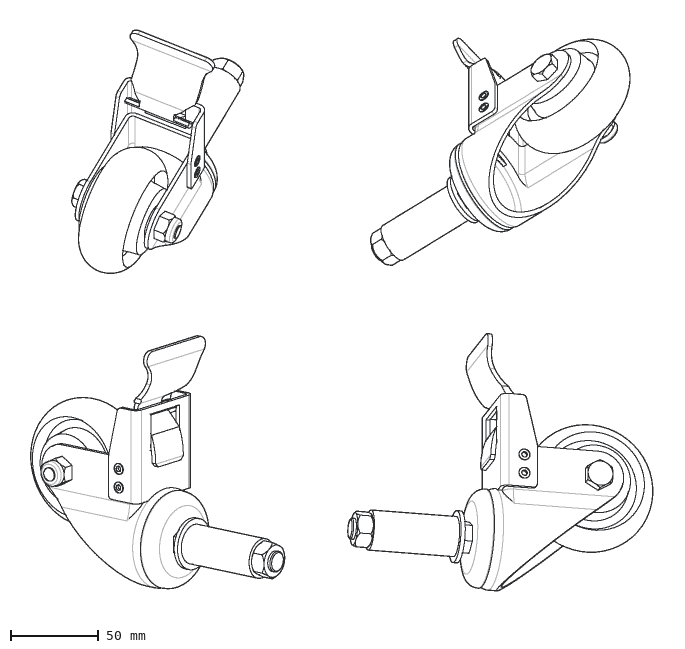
import cadquery as cq
import math


OVERALL_LENGTH = 177.5

TYRE_R = 37.5
TYRE_HALF_WIDTH = 14.0
TYRE_EDGE_R = 29.5
RECESS_FLOOR_R = 26.5
RECESS_FLOOR_X = 7.1
HUB_ROOT_R = 21.6
HUB_FACE_R = 20.2
HUB_HALF_WIDTH = 18.3
SPACER_R = 10.0

SHEET = 2.3
CUP_R = 29.1
CUP_DROP = 35.0
CUP_TOP_Y = 61.8
CUP_EDGE_FILLET = 4.8
LEG_HALF_SPAN = 23.0
LEG_END_R = 15.0
FORK_BACK_Y = 54.7
BEND_R = 5.0
FLARE_Z = -11.5
CUT_LOW_Y = 53.2

BRACKET_TOP_Z = 44.9
BRACKET_BOTTOM_Z = -10.1
BRACKET_BEND_R = 4.0
BRACKET_TOP_FRONT_Y = 43.0
BRACKET_FRONT_Y = 36.0
BRACKET_TOP_CORNER_R = 2.7
BRACKET_LOW_CORNER_R = 2.3
WINDOW_HALF_WIDTH = 12.8
WINDOW_BOTTOM_Z = 19.2
WINDOW_TOP_Z = 40.8
WINDOW_CUT = 4 * SHEET
RIVET_Y = 43.8
RIVET_HEIGHTS = (8.9, -2.1)
RIVET_R = 3.2
RIVET_HOLE_R = 1.6
RIVET_HOLE_DEPTH = 1.8
RIVET_PROUD = 0.5

BOLT_FLATS = 14.5
BOLT_HEAD_X = -29.1
NUT_END_X = 30.2
COLLAR_END_X = 34.2
COLLAR_FILLET = 1.5
BOLT_TIP_X = 35.0
BOLT_TIP_R = 3.9

RING_R = 28.4
RING_BOTTOM_Y = 62.1
RING_TOP_Y = 70.1
RING_FILLET = 7.5
NECK_R = 23.0
STEM_HEX_FLATS = 16.3
WASHER_BOTTOM_Y = 76.0
WASHER_R = 14.9
SLEEVE_BOTTOM_Y = 78.5
SLEEVE_R = 11.5
SLEEVE_TOP_Y = 128.5
STEM_NUT_FLATS = 18.6
STEM_NUT_TOP_Y = 137.7
STUD_R = 6.0
STUD_CHAMFER = 0.7
STUD_TOP_Y = OVERALL_LENGTH - TYRE_R

PEDAL_SHEET = 2.7
PEDAL_TOP_Z = 81.0
PEDAL_BACK_Y = 65.3
PEDAL_CURVE_TOP_Z = 72.8
PEDAL_CURVE_R = 27.9
PEDAL_CURVE_END_Z = 47.7
PEDAL_BOTTOM_Z = 34.0
CURL_END_ANGLE = 255
PAD_HALF_WIDTH = 26.3
PAD_CORNER_R = 5.1
WAIST_HALF_WIDTH = 20.4
WAIST_R = 17.4
WAIST_BOTTOM_Z = 50.8
NECK_HALF_WIDTH = 10.8
NECK_TOP_Z = 44.7
WING_HALF_WIDTH = 20.0
WING_TOP_Z = 40.6
HOOK_HALF_WIDTH = 12.5
HOOK_BACK_Y = 60.3
HOOK_R = 46.1
HOOK_ARC_ANGLE = 21
HOOK_CURVE_END_Z = 11.7
HOOK_BOTTOM_Z = 9.5
HOOK_CORNER = 2.3


COS_30 = math.cos(math.pi / 6)


def along_y(bottom, top, radius):
    """Cylinder on the stem axis between two Y positions."""
    plane = cq.Workplane("XZ", origin=(0, bottom, -CUP_DROP))
    return plane.circle(radius).extrude(bottom - top)


def along_x(start, end, radius, y=0, z=0):
    """Cylinder parallel to the axle between two X positions."""
    return cq.Workplane("YZ", origin=(start, y, z)).circle(radius).extrude(end - start)


def hex_bar(length, flats):
    """Hexagonal bar along +Z, corners on the local X axis."""
    return cq.Workplane("XY").polygon(6, flats / COS_30).extrude(length)


def chamfered(bar, flats, ends):
    """Hexagonal bar with the corners of the chosen ends turned off down to the flats."""
    corner_r = flats / COS_30 / 2
    length = bar.val().BoundingBox().zmax
    blank = cq.Workplane("XY").circle(corner_r).extrude(length)
    return bar.intersect(blank.faces(ends).edges().chamfer(corner_r - flats / 2))



def wheel():
    """Tyre with a recess in each side, a tapered hub and spacers reaching the fork legs."""
    tyre = (
        cq.Workplane("XY")
        .moveTo(-RECESS_FLOOR_X, 0)
        .lineTo(-RECESS_FLOOR_X, RECESS_FLOOR_R)
        .lineTo(-TYRE_HALF_WIDTH, TYRE_EDGE_R)
        .threePointArc((0, TYRE_R), (TYRE_HALF_WIDTH, TYRE_EDGE_R))
        .lineTo(RECESS_FLOOR_X, RECESS_FLOOR_R)
        .lineTo(RECESS_FLOOR_X, 0)
        .close()
        .revolve(360, (0, 0, 0), (1, 0, 0))
    )
    half_hub = (
        cq.Workplane("XY")
        .polyline([
            (0, 0), (0, HUB_ROOT_R), (RECESS_FLOOR_X, HUB_ROOT_R),
            (HUB_HALF_WIDTH, HUB_FACE_R), (HUB_HALF_WIDTH, 0),
        ])
        .close()
        .revolve(360, (0, 0, 0), (1, 0, 0))
    )
    spacer_end = LEG_HALF_SPAN - SHEET
    spacer = along_x(-spacer_end, spacer_end, SPACER_R)
    return tyre.union(half_hub).union(half_hub.mirror("YZ")).union(spacer)


def axle_bolt():
    """Hexagon head on the -X leg, hexagon nut with a round collar on the +X leg."""
    head = chamfered(hex_bar(-LEG_HALF_SPAN - BOLT_HEAD_X, BOLT_FLATS), BOLT_FLATS, ">Z")
    head = head.rotate((0, 0, 0), (0, 1, 0), -90).translate((-LEG_HALF_SPAN, 0, 0))
    nut = chamfered(hex_bar(NUT_END_X - LEG_HALF_SPAN, BOLT_FLATS), BOLT_FLATS, ">Z")
    nut = nut.rotate((0, 0, 0), (0, 1, 0), 90).translate((LEG_HALF_SPAN, 0, 0))
    collar = along_x(LEG_HALF_SPAN, COLLAR_END_X, BOLT_FLATS / 2)
    collar = collar.faces(">X").edges().fillet(COLLAR_FILLET)
    shaft = along_x(-LEG_HALF_SPAN, BOLT_TIP_X, BOLT_TIP_R)
    return head.union(nut).union(collar).union(shaft)



def keyhole(half_span, cup_r, back_y, bend_r):
    """Straight legs flaring out to the round cup, solid, with a rounded back edge."""
    flare_drop = CUP_DROP + FLARE_Z
    flare_r = (flare_drop**2 + half_span**2 - cup_r**2) / (2 * (cup_r - half_span))
    reach = cup_r / (cup_r + flare_r)
    join_x = (half_span + flare_r) * reach
    join_z = -CUP_DROP + flare_drop * reach
    half_turn = math.atan2(flare_drop, half_span + flare_r) / 2
    mid_x = half_span + flare_r * (1 - math.cos(half_turn))
    mid_z = FLARE_Z - flare_r * math.sin(half_turn)
    length = back_y + LEG_END_R
    body = (
        cq.Workplane("XZ", origin=(0, back_y, 0))
        .moveTo(-half_span, LEG_END_R)
        .lineTo(half_span, LEG_END_R)
        .lineTo(half_span, FLARE_Z)
        .threePointArc((mid_x, mid_z), (join_x, join_z))
        .threePointArc((0, -CUP_DROP - cup_r), (-join_x, join_z))
        .threePointArc((-mid_x, mid_z), (-half_span, FLARE_Z))
        .close()
        .extrude(length)
    )
    top_edge = cq.selectors.NearestToPointSelector((0, back_y, LEG_END_R))
    return body.faces(">Y").edges(cq.selectors.InverseSelector(top_edge)).fillet(bend_r)


def cup(radius, top_y, fillet_r):
    """Solid round cup reaching down past the bend of the keyhole's back edge."""
    return along_y(FORK_BACK_Y - BEND_R, top_y, radius).faces(">Y").edges().fillet(fillet_r)


def fork_side_outline():
    """Side shape: legs rounded about the axle, and a slanted cut tangent to that rounding."""
    low_z = -CUP_DROP - CUP_R
    cut_distance = math.hypot(CUT_LOW_Y, low_z)
    tangent_angle = math.atan2(low_z, CUT_LOW_Y) - math.acos(LEG_END_R / cut_distance)
    tangent = (LEG_END_R * math.cos(tangent_angle), LEG_END_R * math.sin(tangent_angle))
    return (
        cq.Workplane("YZ", origin=(-CUP_R, 0, 0))
        .moveTo(0, LEG_END_R)
        .threePointArc((-LEG_END_R, 0), tangent)
        .lineTo(CUT_LOW_Y, low_z)
        .lineTo(CUP_TOP_Y, low_z)
        .lineTo(CUP_TOP_Y, LEG_END_R)
        .close()
        .extrude(2 * CUP_R)
    )


def fork():
    """Hollow sheet fork: an outside shape and the same shape one sheet smaller."""
    outside = keyhole(LEG_HALF_SPAN, CUP_R, FORK_BACK_Y, BEND_R)
    outside = outside.union(cup(CUP_R, CUP_TOP_Y, CUP_EDGE_FILLET))
    inside = keyhole(LEG_HALF_SPAN - SHEET, CUP_R - SHEET, FORK_BACK_Y - SHEET, BEND_R - SHEET)
    inside = inside.union(cup(CUP_R - SHEET, CUP_TOP_Y - SHEET, CUP_EDGE_FILLET - SHEET))
    return outside.intersect(fork_side_outline()).cut(inside)



def bracket():
    """Sheet wrapped around the back and sides of the fork, with a window for the pedal hook."""
    back_y = FORK_BACK_Y + SHEET
    half_span = LEG_HALF_SPAN + SHEET
    block = (
        cq.Workplane("YZ", origin=(-half_span, 0, 0))
        .polyline([
            (back_y, BRACKET_BOTTOM_Z), (back_y, BRACKET_TOP_Z), (BRACKET_TOP_FRONT_Y, BRACKET_TOP_Z),
            (BRACKET_FRONT_Y, LEG_END_R), (BRACKET_FRONT_Y, BRACKET_BOTTOM_Z),
        ])
        .close()
        .extrude(2 * half_span)
    )
    block = block.edges("|X").edges(">Z").edges("<Y").fillet(BRACKET_TOP_CORNER_R)
    block = block.edges("|X").edges("<Z").edges("<Y").fillet(BRACKET_LOW_CORNER_R)
    block = block.edges("|Z and >Y").fillet(BRACKET_BEND_R)
    inside = (
        cq.Workplane("XY", origin=(0, FORK_BACK_Y / 2, BRACKET_BOTTOM_Z))
        .rect(2 * LEG_HALF_SPAN, FORK_BACK_Y)
        .extrude(BRACKET_TOP_Z - BRACKET_BOTTOM_Z)
        .edges("|Z and >Y")
        .fillet(BRACKET_BEND_R - SHEET)
    )
    window = (
        cq.Workplane("XY", origin=(0, back_y, WINDOW_BOTTOM_Z))
        .rect(2 * WINDOW_HALF_WIDTH, WINDOW_CUT)
        .extrude(WINDOW_TOP_Z - WINDOW_BOTTOM_Z)
    )
    return block.cut(inside).cut(window)


def rivet(side, z):
    """Rivet head standing proud of the bracket on one side, and the round pit in its middle."""
    seat = side * LEG_HALF_SPAN
    proud = side * (LEG_HALF_SPAN + SHEET + RIVET_PROUD)
    head = along_x(seat, proud, RIVET_R, RIVET_Y, z)
    return head, along_x(proud - side * RIVET_HOLE_DEPTH, proud, RIVET_HOLE_R, RIVET_Y, z)



def along_stem(bar, bottom):
    """Turn a bar built along +Z onto the stem axis, corners up and down."""
    turned = bar.rotate((0, 0, 0), (1, 0, 0), -90).rotate((0, 0, 0), (0, 1, 0), 90)
    return turned.translate((0, bottom, -CUP_DROP))


def stem():
    """Swivel ring, hexagonal shank, washer, sleeve, nut and stud end in one stack."""
    neck = along_y(CUP_TOP_Y, RING_BOTTOM_Y, NECK_R)
    ring = along_y(RING_BOTTOM_Y, RING_TOP_Y, RING_R).faces(">Y").edges().fillet(RING_FILLET)
    shank = along_stem(hex_bar(WASHER_BOTTOM_Y - RING_TOP_Y, STEM_HEX_FLATS), RING_TOP_Y)
    washer = along_y(WASHER_BOTTOM_Y, SLEEVE_BOTTOM_Y, WASHER_R)
    sleeve = along_y(SLEEVE_BOTTOM_Y, SLEEVE_TOP_Y, SLEEVE_R)
    nut = hex_bar(STEM_NUT_TOP_Y - SLEEVE_TOP_Y, STEM_NUT_FLATS)
    nut = along_stem(chamfered(nut, STEM_NUT_FLATS, "<Z or >Z"), SLEEVE_TOP_Y)
    stud = along_y(STEM_NUT_TOP_Y, STUD_TOP_Y, STUD_R)
    stud = stud.faces(">Y").edges().chamfer(STUD_CHAMFER)
    return neck.union(ring).union(shank).union(washer).union(sleeve).union(nut).union(stud)



def between(center, radius, start, end):
    """Point on a circle halfway between two angles in degrees."""
    angle = math.radians((start + end) / 2)
    return (center[0] + radius * math.cos(angle), center[1] + radius * math.sin(angle))


def on_circle(center, radius, angle):
    return between(center, radius, angle, angle)


def pedal_curves():
    """Main curve centre, nose centre, nose radius, and the angle where the main curve ends."""
    curve = (PEDAL_BACK_Y - PEDAL_SHEET - PEDAL_CURVE_R, PEDAL_CURVE_TOP_Z)
    sin_end = (PEDAL_CURVE_TOP_Z - PEDAL_CURVE_END_Z) / PEDAL_CURVE_R
    end_angle = math.degrees(math.asin(sin_end))
    nose_r = (PEDAL_CURVE_END_Z - PEDAL_BOTTOM_Z) / (1 + sin_end)
    nose = on_circle(curve, PEDAL_CURVE_R + nose_r, -end_angle)
    return curve, nose, nose_r, end_angle


def pedal_plate():
    """Foot pad, curved plate and nose curl, trimmed to the widths of the front outline."""
    curve, nose, nose_r, end_angle = pedal_curves()
    outer_r = PEDAL_CURVE_R + PEDAL_SHEET
    inner_nose_r = nose_r - PEDAL_SHEET
    nose_angle = 180 - end_angle
    sheet = (
        cq.Workplane("YZ", origin=(-PAD_HALF_WIDTH, 0, 0))
        .moveTo(PEDAL_BACK_Y, PEDAL_TOP_Z)
        .lineTo(PEDAL_BACK_Y, PEDAL_CURVE_TOP_Z)
        .threePointArc(between(curve, outer_r, 0, -end_angle), on_circle(curve, outer_r, -end_angle))
        .threePointArc(
            between(nose, inner_nose_r, nose_angle, CURL_END_ANGLE),
            on_circle(nose, inner_nose_r, CURL_END_ANGLE),
        )
        .lineTo(*on_circle(nose, nose_r, CURL_END_ANGLE))
        .threePointArc(
            between(nose, nose_r, nose_angle, CURL_END_ANGLE), on_circle(nose, nose_r, nose_angle)
        )
        .threePointArc(between(curve, PEDAL_CURVE_R, 0, -end_angle), on_circle(curve, PEDAL_CURVE_R, 0))
        .lineTo(PEDAL_BACK_Y - PEDAL_SHEET, PEDAL_TOP_Z)
        .close()
        .extrude(2 * PAD_HALF_WIDTH)
    )
    return sheet.intersect(pedal_outline())


def pedal_outline():
    """Front shape of the pad, waist, neck and wings, symmetric about the middle."""
    corner = (PAD_HALF_WIDTH - PAD_CORNER_R, PEDAL_TOP_Z - PAD_CORNER_R)
    offset_x = WAIST_HALF_WIDTH + WAIST_R - corner[0]
    offset_z = math.sqrt((WAIST_R + PAD_CORNER_R) ** 2 - offset_x**2)
    waist = (corner[0] + offset_x, corner[1] - offset_z)
    join_angle = math.degrees(math.atan2(-offset_z, offset_x))
    right_half = (
        cq.Workplane("XZ", origin=(0, PEDAL_BACK_Y, 0))
        .moveTo(0, PEDAL_TOP_Z)
        .lineTo(corner[0], PEDAL_TOP_Z)
        .threePointArc(on_circle(corner, PAD_CORNER_R, 0), on_circle(corner, PAD_CORNER_R, join_angle))
        .threePointArc(between(waist, WAIST_R, 180 + join_angle, 180), on_circle(waist, WAIST_R, 180))
        .lineTo(WAIST_HALF_WIDTH, WAIST_BOTTOM_Z)
        .lineTo(NECK_HALF_WIDTH, NECK_TOP_Z)
        .lineTo(NECK_HALF_WIDTH, WING_TOP_Z)
        .lineTo(WING_HALF_WIDTH, WING_TOP_Z)
        .lineTo(WING_HALF_WIDTH, PEDAL_BOTTOM_Z)
        .lineTo(0, PEDAL_BOTTOM_Z)
        .close()
        .extrude(PEDAL_BACK_Y)
    )
    return right_half.union(right_half.mirror("YZ"))


def pedal_hook():
    """Arm from the curl through the bracket window, hooking down behind it."""
    _, nose, nose_r, _ = pedal_curves()
    center = (HOOK_BACK_Y - HOOK_R, HOOK_CURVE_END_Z)
    inner_r = HOOK_R - PEDAL_SHEET
    hook = (
        cq.Workplane("YZ", origin=(-HOOK_HALF_WIDTH, 0, 0))
        .moveTo(*on_circle(nose, nose_r - PEDAL_SHEET, CURL_END_ANGLE))
        .lineTo(*on_circle(center, HOOK_R, HOOK_ARC_ANGLE))
        .threePointArc(between(center, HOOK_R, HOOK_ARC_ANGLE, 0), on_circle(center, HOOK_R, 0))
        .lineTo(HOOK_BACK_Y, HOOK_BOTTOM_Z)
        .lineTo(HOOK_BACK_Y - PEDAL_SHEET, HOOK_BOTTOM_Z)
        .lineTo(*on_circle(center, inner_r, 0))
        .threePointArc(
            between(center, inner_r, HOOK_ARC_ANGLE, 0), on_circle(center, inner_r, HOOK_ARC_ANGLE)
        )
        .lineTo(*on_circle(nose, nose_r, CURL_END_ANGLE))
        .close()
        .extrude(2 * HOOK_HALF_WIDTH)
    )
    return hook.edges("|Y and <Z").chamfer(HOOK_CORNER)



caster = fork().union(bracket()).union(stem()).union(wheel()).union(axle_bolt())
for side in (-1, 1):
    for rivet_z in RIVET_HEIGHTS:
        head, pit = rivet(side, rivet_z)
        caster = caster.union(head).cut(pit)

pedal = pedal_plate().union(pedal_hook())

result = cq.Compound.makeCompound([caster.val(), pedal.val()])